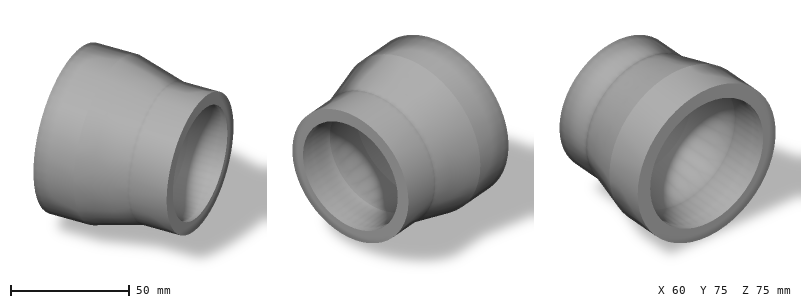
import cadquery as cq

large_outer_diameter = 75.0
large_bore_diameter = 61.4
small_outer_diameter = 63.0
small_bore_diameter = 51.4

total_length = 60.0
large_end_length = 19.0
small_end_length = 18.0
taper_end = total_length - small_end_length


def stepped_taper(large_diameter, small_diameter):
    """Solid of revolution: large cylinder, cone, then small cylinder along X."""
    large_radius = large_diameter / 2
    small_radius = small_diameter / 2
    return (
        cq.Workplane("XY")
        .moveTo(0, 0)
        .lineTo(0, large_radius)
        .lineTo(large_end_length, large_radius)
        .lineTo(taper_end, small_radius)
        .lineTo(total_length, small_radius)
        .lineTo(total_length, 0)
        .close()
        .revolve(360, (0, 0, 0), (1, 0, 0))
    )


outer_body = stepped_taper(large_outer_diameter, small_outer_diameter)
bore = stepped_taper(large_bore_diameter, small_bore_diameter)

result = outer_body.cut(bore)